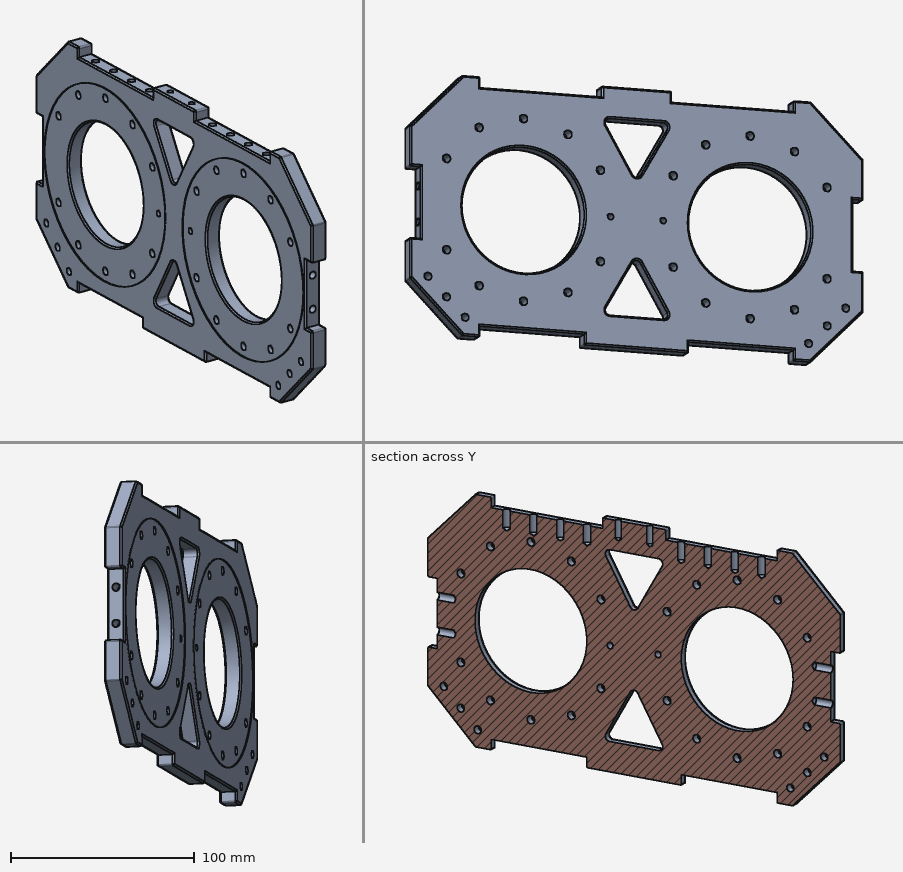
import cadquery as cq
import math

length = 260.0
thickness = 10.0
height = 145.0
corner_cut = 30.2
edge_chamfer = 0.9
corner_radius = 0.9

notch_outer_x = 90.0
top_tab_half = 20.0
bottom_tab_half = 30.0
top_notch_depth = 6.0
side_notch_half = 20.0
side_notch_depth = 6.0

opening_x = 65.0
bore_radius = 35.0
seat_radius = 57.0
seat_depth = 0.5
bolt_circle_radius = 51.0
bolt_diameter = 4.5
bolt_step = 30
pin_circle_radius = 50.0
pin_diameter = 3.5

window_base_z = 54.9
window_tip_z = 20.5
window_tip_half_angle = 30
window_radius = 2.5

corner_hole_x = 109.2
corner_hole_z = -51.7
corner_hole_step = 10.7
corner_hole_diameter = 4.2

drill_tip_angle = 118
edge_hole_diameter = 4.2
edge_hole_depth = 10.5
top_hole_step = 17.0
top_hole_count = 4
tab_hole_spacing = 20.0
tab_hole_diameter = 3.5
side_hole_spacing = 20.0

half_length = length / 2
half_height = height / 2
tolerance = 0.003
front_y = -thickness / 2
back_y = thickness / 2


def front_sketch():
    """Sketch plane with local axes X and Z on the mid-plane of the plate."""
    return cq.Workplane("XZ")


def is_outer_corner(edge):
    """True for corners on the bounding rectangle, false for the inner corners of the recesses."""
    centre = edge.Center()
    return max(abs(centre.x) - half_length, abs(centre.z) - half_height) > -tolerance


def make_plate():
    """Recessed outline with cut and rounded corners, mirrored about X = 0."""
    notch_z = half_height - top_notch_depth
    notch_x = half_length - side_notch_depth
    right_half = [
        (top_tab_half, half_height),
        (top_tab_half, notch_z),
        (notch_outer_x, notch_z),
        (notch_outer_x, half_height),
        (half_length - corner_cut, half_height),
        (half_length, half_height - corner_cut),
        (half_length, side_notch_half),
        (notch_x, side_notch_half),
        (notch_x, -side_notch_half),
        (half_length, -side_notch_half),
        (half_length, corner_cut - half_height),
        (half_length - corner_cut, -half_height),
        (notch_outer_x, -half_height),
        (notch_outer_x, -notch_z),
        (bottom_tab_half, -notch_z),
        (bottom_tab_half, -half_height),
    ]
    left_half = [(-x, z) for x, z in reversed(right_half)]
    outline = front_sketch().polyline(right_half + left_half).close()
    blank = outline.extrude(thickness / 2, both=True)
    return blank.edges("|Y").filter(is_outer_corner).fillet(corner_radius)


def make_window(side):
    """Equilateral triangle with rounded corners pointing at the centre; side is 1 above, -1 below."""
    half_base = (window_base_z - window_tip_z) * math.tan(math.radians(window_tip_half_angle))
    corners = [
        (-half_base, side * window_base_z),
        (half_base, side * window_base_z),
        (0, side * window_tip_z),
    ]
    window = front_sketch().polyline(corners).close().extrude(thickness, both=True)
    return window.edges("|Y").fillet(window_radius)


def bore_cutter(centre_x):
    """Bore that widens at 45 degrees to the floor of the seat and to the back face."""
    seat_y = front_y + seat_depth
    wide_radius = bore_radius + edge_chamfer
    profile = [
        (0, seat_y),
        (wide_radius, seat_y),
        (bore_radius, seat_y + edge_chamfer),
        (bore_radius, back_y - edge_chamfer),
        (wide_radius, back_y),
        (0, back_y),
    ]
    bore = cq.Workplane("XY").polyline(profile).close().revolve(360, (0, 0, 0), (0, 1, 0))
    return bore.translate((centre_x, 0, 0))


def round_cutter(points, diameter):
    """Cylinders along Y at the given X, Z points, passing through the plate."""
    return front_sketch().pushPoints(points).circle(diameter / 2).extrude(thickness, both=True)


def drill_cutter(entry, direction, diameter):
    """Blind hole with a conical bottom, drilled from entry along direction."""
    radius = diameter / 2
    tip = radius / math.tan(math.radians(drill_tip_angle / 2))
    entry = cq.Vector(*entry)
    direction = cq.Vector(*direction)
    shaft = cq.Solid.makeCylinder(radius, edge_hole_depth, entry, direction)
    point = cq.Solid.makeCone(radius, 0, tip, entry + direction * edge_hole_depth, direction)
    return shaft.fuse(point)


plate = make_plate()
for side in (1, -1):
    plate = plate.cut(make_window(side))

plate = plate.faces("<Y or >Y").edges().chamfer(edge_chamfer)

for side in (1, -1):
    centre_x = side * opening_x
    seat = cq.Workplane("XZ", origin=(centre_x, front_y + seat_depth, 0)).circle(seat_radius)
    plate = plate.cut(seat.extrude(thickness))
    plate = plate.cut(bore_cutter(centre_x))
    bolt_points = [
        (
            centre_x - side * bolt_circle_radius * math.cos(math.radians(angle)),
            bolt_circle_radius * math.sin(math.radians(angle)),
        )
        for angle in range(-180 + bolt_step, 180, bolt_step)
        if angle != 0
    ]
    plate = plate.cut(round_cutter(bolt_points, bolt_diameter))
    pin_point = (centre_x - side * pin_circle_radius, 0)
    plate = plate.cut(round_cutter([pin_point], pin_diameter))

for side in (1, -1):
    corner_points = [
        (side * (corner_hole_x + i * corner_hole_step), corner_hole_z + i * corner_hole_step)
        for i in (-1, 0, 1)
    ]
    plate = plate.cut(round_cutter(corner_points, corner_hole_diameter))

top_hole_mid = (top_tab_half + notch_outer_x) / 2
for side in (1, -1):
    for i in range(top_hole_count):
        x = side * (top_hole_mid + (i - (top_hole_count - 1) / 2) * top_hole_step)
        entry = (x, 0, half_height - top_notch_depth)
        plate = plate.cut(cq.Workplane(drill_cutter(entry, (0, 0, -1), edge_hole_diameter)))
    tab_entry = (side * tab_hole_spacing / 2, 0, half_height)
    plate = plate.cut(cq.Workplane(drill_cutter(tab_entry, (0, 0, -1), tab_hole_diameter)))
    for z in (side_hole_spacing / 2, -side_hole_spacing / 2):
        entry = (side * (half_length - side_notch_depth), 0, z)
        plate = plate.cut(cq.Workplane(drill_cutter(entry, (-side, 0, 0), edge_hole_diameter)))

result = plate